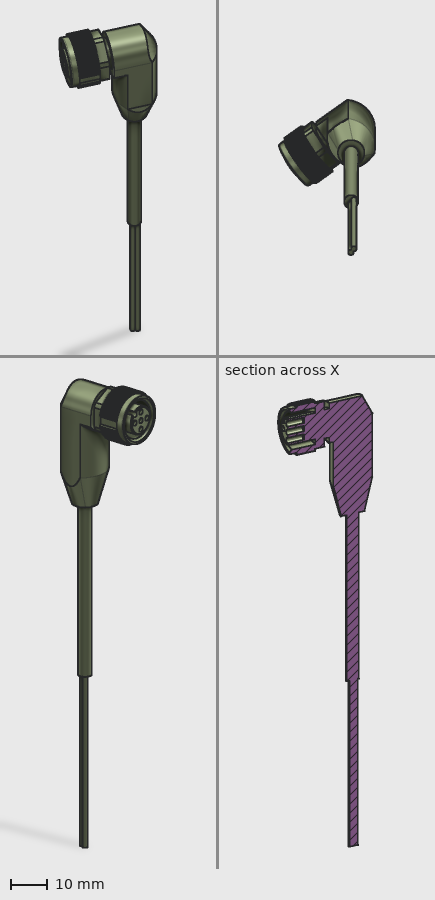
import cadquery as cq
import math


boot_top = -19.04
boot_bottom = -28.94
cable_length = 50.0
wire_length = 50.0
cable_end = boot_bottom - cable_length

body_radius = 6.05
side_flat_half = 3.45
arm_front = -7.3
arm_back = 0.4
elbow_slope = 0.52

boot_end_radius = 3.6
side_flat_end = -22.35
boot_side_slope = (body_radius - boot_end_radius) / (side_flat_end - boot_bottom)
boot_end_corner = math.radians(42)
lobe_reach = 6.8
lobe_top = -20.9

cable_diameter = 3.8
wire_diameter = 1.5
wire_centres = [(-0.35, -0.35), (0.0, 0.9)]

nut_back = -8.6
knurl_back = -11.5
knurl_front = -17.2
flange_front = -19.3
insert_front = -19.95

neck_diameter = 8.85
flange_diameter = 13.8
flange_bevel_length = 0.4
flange_bevel_depth = 0.1
nut_across_flats = 12.6
tooth_tip_radius = 7.5
tooth_root_radius = 7.05
knurl_flat_half = 1.05
knurl_half_width = 7.31
tooth_pitches_per_half = 36

socket_diameter = 10.92
socket_mouth_diameter = 12.3
insert_diameter = 8.05
insert_chamfer = 0.3
contact_diameter = 1.5
contact_circle_radius = 2.5
contact_depth = 5.0
key_diameter = 1.5
key_radius = 3.48
key_angle = math.radians(135)
key_depth = contact_depth

overlap = 0.5


def across(y):
    """Plane square to the coupling axis at y, with local x = X, local y = Z and normal toward -Y."""
    return cq.Workplane("XZ", origin=(0, y, 0))


def coupling_cylinder(diameter, back, front):
    return across(back).circle(diameter / 2).extrude(back - front)


def polar_point(radius, angle):
    return (radius * math.cos(angle), radius * math.sin(angle))


def arched_half(side, height):
    """Body outline at a height: a straight edge on the X axis, flat sides and one arch toward side * Y."""
    return (
        cq.Workplane("XY", origin=(0, 0, height))
        .moveTo(-body_radius, 0)
        .lineTo(-body_radius, side * side_flat_half)
        .threePointArc((0, side * body_radius), (body_radius, side * side_flat_half))
        .lineTo(body_radius, 0)
        .close()
    )


def leaning_half(side, start, end, slope):
    """Arched half outline swept from start to end, leaning toward the cable axis."""
    rise = end - start
    direction = cq.Vector(0, -side * slope * abs(rise), rise)
    outline = arched_half(side, start).wires().val()
    return cq.Workplane(cq.Solid.extrudeLinear(outline, [], direction))


def make_body():
    column = arched_half(1, boot_top).extrude(-boot_top)
    column = column.union(arched_half(-1, boot_top).extrude(-boot_top))
    elbow = leaning_half(1, 0, body_radius + overlap, elbow_slope)
    arch = (
        across(body_radius)
        .moveTo(-body_radius, boot_top)
        .lineTo(-body_radius, 0)
        .threePointArc((0, body_radius), (body_radius, 0))
        .lineTo(body_radius, boot_top)
        .close()
        .extrude(body_radius - arm_front)
    )
    arm = (
        across(arm_back)
        .moveTo(-body_radius, -side_flat_half)
        .lineTo(-body_radius, 0)
        .threePointArc((0, body_radius), (body_radius, 0))
        .lineTo(body_radius, -side_flat_half)
        .threePointArc((0, -body_radius), (-body_radius, -side_flat_half))
        .close()
        .extrude(arm_back - arm_front)
    )
    return column.union(elbow.intersect(arch)).union(arm)


def four_arc_outline(outline, side_reach, face_reach, corner_x, corner_y):
    """Closed outline of four arcs that meet at (+-corner_x, +-corner_y)."""
    return (
        outline.moveTo(corner_x, -corner_y)
        .threePointArc((side_reach, 0), (corner_x, corner_y))
        .threePointArc((0, face_reach), (-corner_x, corner_y))
        .threePointArc((-side_reach, 0), (-corner_x, -corner_y))
        .threePointArc((0, -face_reach), (corner_x, -corner_y))
        .close()
    )


def make_boot():
    """Taper from the body outline to a circle; -X keeps the body's flat side, +X bulges beyond it."""
    height = boot_top - boot_bottom
    top_side_reach = boot_end_radius + boot_side_slope * height
    outline = cq.Workplane("XY", origin=(0, 0, boot_bottom))
    end_corner_x, end_corner_y = polar_point(boot_end_radius, boot_end_corner)
    outline = four_arc_outline(outline, boot_end_radius, boot_end_radius, end_corner_x, end_corner_y)
    outline = outline.workplane(offset=height)
    outline = four_arc_outline(outline, top_side_reach, body_radius, body_radius, side_flat_half)
    taper = outline.loft(ruled=True)
    side_limits = (
        cq.Workplane("XZ")
        .moveTo(-body_radius, boot_bottom)
        .lineTo(lobe_reach, boot_bottom)
        .lineTo(lobe_reach, lobe_top)
        .lineTo(body_radius, boot_top)
        .lineTo(-body_radius, boot_top)
        .close()
        .extrude(2 * body_radius, both=True)
    )
    return taper.intersect(side_limits)


def make_cable():
    cable = (
        cq.Workplane("XY", origin=(0, 0, boot_bottom + overlap))
        .circle(cable_diameter / 2)
        .extrude(-cable_length - overlap)
    )
    wires = (
        cq.Workplane("XY", origin=(0, 0, cable_end + overlap))
        .pushPoints(wire_centres)
        .circle(wire_diameter / 2)
        .extrude(-wire_length - overlap)
    )
    return cable.union(wires)


def make_nut():
    """Hexagon nut with flats facing +X and -X and corners turned down to the flange diameter."""
    corner_diameter = nut_across_flats / math.cos(math.pi / 6)
    length = nut_back - knurl_back
    hexagon = across(nut_back).transformed(rotate=(0, 0, 30)).polygon(6, corner_diameter).extrude(length)
    return hexagon.intersect(coupling_cylinder(flange_diameter, nut_back, knurl_back))


def make_knurl():
    """Ring of pointed teeth with one plain flat on the +X side and one on the -X side."""
    first_tip = math.acos(knurl_half_width / tooth_tip_radius)
    half_pitch = (math.pi - 2 * first_tip) / (2 * tooth_pitches_per_half)
    flat_edge = math.asin(knurl_flat_half / tooth_root_radius)
    points = []
    for half_start in (0, math.pi):
        points.append(polar_point(tooth_root_radius, half_start + flat_edge))
        for step in range(2 * tooth_pitches_per_half + 1):
            radius = tooth_root_radius if step % 2 else tooth_tip_radius
            points.append(polar_point(radius, half_start + first_tip + step * half_pitch))
        points.append(polar_point(tooth_root_radius, half_start + math.pi - flat_edge))
    return across(knurl_back).polyline(points).close().extrude(knurl_back - knurl_front)


def make_socket_space():
    """Ring-shaped space around the contact insert, with a conical mouth."""
    bore = coupling_cylinder(socket_diameter, knurl_back, flange_front)
    mouth_depth = (socket_mouth_diameter - socket_diameter) / 2
    mouth = cq.Workplane(
        cq.Solid.makeCone(
            socket_mouth_diameter / 2,
            socket_diameter / 2,
            mouth_depth,
            cq.Vector(0, flange_front, 0),
            cq.Vector(0, 1, 0),
        )
    )
    return bore.union(mouth)


def make_insert():
    insert = coupling_cylinder(insert_diameter, knurl_back + overlap, insert_front)
    insert = insert.faces("<Y").edges().chamfer(insert_chamfer)
    contacts = [(0, 0)]
    for quarter in range(4):
        contacts.append(polar_point(contact_circle_radius, quarter * math.pi / 2))
    holes = across(insert_front).pushPoints(contacts).circle(contact_diameter / 2).extrude(-contact_depth)
    key = (
        across(insert_front)
        .center(*polar_point(key_radius, key_angle))
        .circle(key_diameter / 2)
        .extrude(-key_depth)
    )
    return insert.cut(holes).cut(key)


def make_coupling():
    neck = coupling_cylinder(neck_diameter, arm_front + overlap, nut_back - overlap)
    flange = coupling_cylinder(flange_diameter, knurl_front, flange_front)
    flange = flange.faces("<Y").edges().chamfer(flange_bevel_length, flange_bevel_depth)
    shell = make_nut().union(make_knurl()).union(flange)
    return shell.cut(make_socket_space()).union(make_insert()).union(neck)


result = make_body().union(make_boot()).union(make_cable()).union(make_coupling())